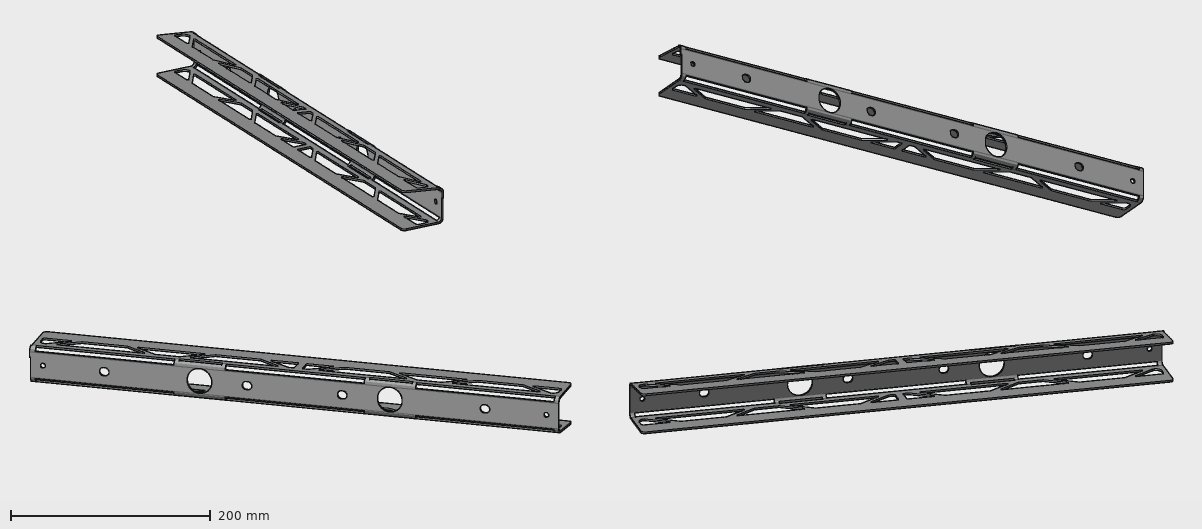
import cadquery as cq
import math

BODY_LENGTH = 555.0
DEPTH = 45.04
TIP_HEIGHT = 42.5
SHEET = 2.0
FLARE_ANGLE = 3.0
BEND_RADIUS = 5.8
TIP_CORNER_RADIUS = 4.0

TONGUE_LENGTH = 1.0
TONGUE_BOTTOM = 7.5
TONGUE_DEPTH = 5.0

PORT_X = 100.0
PORT_DIAMETER = 26.0
OBLONG_XS = (50.0, 200.0)
OBLONG_LENGTH = 10.0
OBLONG_HEIGHT = 8.5
END_HOLE_X = 264.5
END_HOLE_DIAMETER = 5.0

END_MARGIN = 5.0
BEND_SLOT_WEB_EDGE = 14.25
BEND_SLOT_FLANGE_EDGE = 4.8
TAB_HALF_GAP = 27.0
TAB_SLOT_LENGTH = 45.0
TAB_SLOT_NEAR = 3.4
TAB_SLOT_FAR = 6.7

WINDOW_NEAR = 12.5
WINDOW_FAR = 27.0
STRUT_ANGLE = 30.0
STRUT_WIDTH = 4.2
STRUT_CENTRES = (27.3, 108.0, 167.3, 248.3)
CENTRE_POST_HALF = 4.2
WINDOW_CORNER_RADIUS = 1.0
END_WINDOW_NEAR_RADIUS = 6.0
END_WINDOW_FAR_RADIUS = 2.5

HALF_LENGTH = BODY_LENGTH / 2
HALF_TIP = TIP_HEIGHT / 2
HALF_BASE = HALF_TIP - DEPTH * math.tan(math.radians(FLARE_ANGLE))
STRUT_RUN = (WINDOW_FAR - WINDOW_NEAR) / 2 / math.tan(math.radians(STRUT_ANGLE))
STRUT_HALF_SPAN = STRUT_WIDTH / 2 / math.sin(math.radians(STRUT_ANGLE))


def box(x_min, x_max, y_min, y_max, z_min, z_max):
    """Axis-aligned box between two corners."""
    size = (x_max - x_min, y_max - y_min, z_max - z_min)
    return cq.Workplane("XY").box(*size, centered=False).translate((x_min, y_min, z_min))


def channel(x_min, x_max):
    """Bent channel with flared flanges, open toward -Y and at both ends."""
    outline = [(0, -HALF_BASE), (0, HALF_BASE), (-DEPTH, HALF_TIP), (-DEPTH, -HALF_TIP)]
    block = cq.Workplane("YZ").polyline(outline).close().extrude(x_max - x_min)
    block = block.edges("|X and >Y").fillet(BEND_RADIUS)
    return block.faces("<Y or <X or >X").shell(-SHEET).translate((x_min, 0, 0))


def tongue():
    """Short extension of the upper bend past the +X end."""
    x_end = HALF_LENGTH + TONGUE_LENGTH
    zone = box(HALF_LENGTH - END_MARGIN, x_end, -TONGUE_DEPTH, 0, TONGUE_BOTTOM, HALF_TIP)
    return channel(-x_end, x_end).intersect(zone)


def web_holes():
    """Cutters for the round and oblong holes of the web."""
    def start_at(*xs):
        """Plane behind the web with points at each x and -x."""
        points = [(side * x, 0) for x in xs for side in (-1, 1)]
        return cq.Workplane("XZ").workplane(offset=-SHEET).pushPoints(points)

    depth = 2 * SHEET
    ports = start_at(PORT_X).circle(PORT_DIAMETER / 2).extrude(depth)
    end_holes = start_at(END_HOLE_X).circle(END_HOLE_DIAMETER / 2).extrude(depth)
    oblongs = start_at(*OBLONG_XS).slot2D(OBLONG_LENGTH, OBLONG_HEIGHT).extrude(depth)
    return [ports, end_holes, oblongs]


def bend_slots():
    """Cutters for the long bend slots and the short flange slots beside the ports."""
    outer = HALF_LENGTH - END_MARGIN
    spans = [
        (-outer, -PORT_X - TAB_HALF_GAP),
        (-PORT_X + TAB_HALF_GAP, PORT_X - TAB_HALF_GAP),
        (PORT_X + TAB_HALF_GAP, outer),
    ]
    cutters = []
    for z_min, z_max in ((BEND_SLOT_WEB_EDGE, HALF_TIP), (-HALF_TIP, -BEND_SLOT_WEB_EDGE)):
        for x_min, x_max in spans:
            cutters.append(box(x_min, x_max, -BEND_SLOT_FLANGE_EDGE, 0, z_min, z_max))
        for port_x in (-PORT_X, PORT_X):
            x_min = port_x - TAB_SLOT_LENGTH / 2
            x_max = port_x + TAB_SLOT_LENGTH / 2
            cutters.append(box(x_min, x_max, -TAB_SLOT_FAR, -TAB_SLOT_NEAR, z_min, z_max))
    return cutters


def flange_prism(points):
    """Sharp-cornered vertical prism through both flanges from (x, y) points."""
    return cq.Workplane("XY").polyline(points).close().extrude(HALF_TIP, both=True)


def rounded_window(points):
    """Window cutter with every corner slightly rounded."""
    return flange_prism(points).edges("|Z").fillet(WINDOW_CORNER_RADIUS)


def strut_edge(index, side, slant):
    """Near and far (x, y) ends of one edge of a strut.

    side is -1 or 1 for the edge toward or away from the rail centre; slant is 1 when
    the strut leans away from the rail centre as it nears the web.
    """
    middle = STRUT_CENTRES[index] + side * STRUT_HALF_SPAN
    near = (middle + slant * STRUT_RUN, -WINDOW_NEAR)
    far = (middle - slant * STRUT_RUN, -WINDOW_FAR)
    return near, far


def windows():
    """Cutters for the five truss windows on the +X half."""
    slants = [-1, 1, -1, 1]
    cutters = []

    near, far = strut_edge(0, -1, slants[0])
    post_near = (CENTRE_POST_HALF, -WINDOW_NEAR)
    post_far = (CENTRE_POST_HALF, -WINDOW_FAR)
    cutters.append(rounded_window([post_near, near, far, post_far]))

    for index in range(len(STRUT_CENTRES) - 1):
        inner_near, inner_far = strut_edge(index, 1, slants[index])
        outer_near, outer_far = strut_edge(index + 1, -1, slants[index + 1])
        cutters.append(rounded_window([inner_near, outer_near, outer_far, inner_far]))

    near, far = strut_edge(-1, 1, slants[-1])
    end_x = HALF_LENGTH - END_MARGIN
    end_window = flange_prism([near, (end_x, -WINDOW_NEAR), (end_x, -WINDOW_FAR), far])
    end_window = end_window.edges("|Z").edges(">X and >Y").fillet(END_WINDOW_NEAR_RADIUS)
    end_window = end_window.edges("|Z").edges(">X and <Y").fillet(END_WINDOW_FAR_RADIUS)
    cutters.append(end_window.edges("|Z").edges("<X").fillet(WINDOW_CORNER_RADIUS))
    return cutters


body = channel(-HALF_LENGTH, HALF_LENGTH)
body = body.faces("<Y").edges("not(|X)").fillet(TIP_CORNER_RADIUS)
for cutter in web_holes() + bend_slots():
    body = body.cut(cutter)
for window in windows():
    body = body.cut(window).cut(window.mirror("YZ"))

result = body.union(tongue())